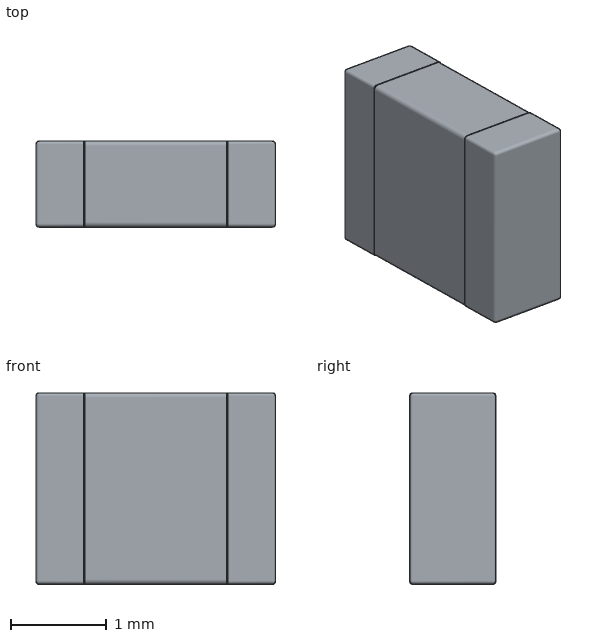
import cadquery as cq

length = 2.5
depth = 0.9
height = 2.0

cap_length = 0.5
cap_edge_radius = 0.035

end_gap = 0.01
body_edge_radius = 0.05
body_length = length - 2 * (cap_length + end_gap)


def make_body():
    """Central block with its four lengthwise edges rounded."""
    block = cq.Workplane("XY").box(body_length, depth, height)
    return block.edges("|X").fillet(body_edge_radius)


def make_cap(side):
    """End cap on the -X (side = -1) or +X (side = 1) end, rounded except around its inner face."""
    center_x = side * (length - cap_length) / 2
    inner_face = "<X" if side > 0 else ">X"
    block = cq.Workplane("XY").box(cap_length, depth, height).translate((center_x, 0, 0))
    outer_edges = block.edges(f"not({inner_face})")
    return outer_edges.fillet(cap_edge_radius)


body = make_body()
caps = [make_cap(side) for side in (-1, 1)]

result = cq.Compound.makeCompound([body.val(), *[cap.val() for cap in caps]])